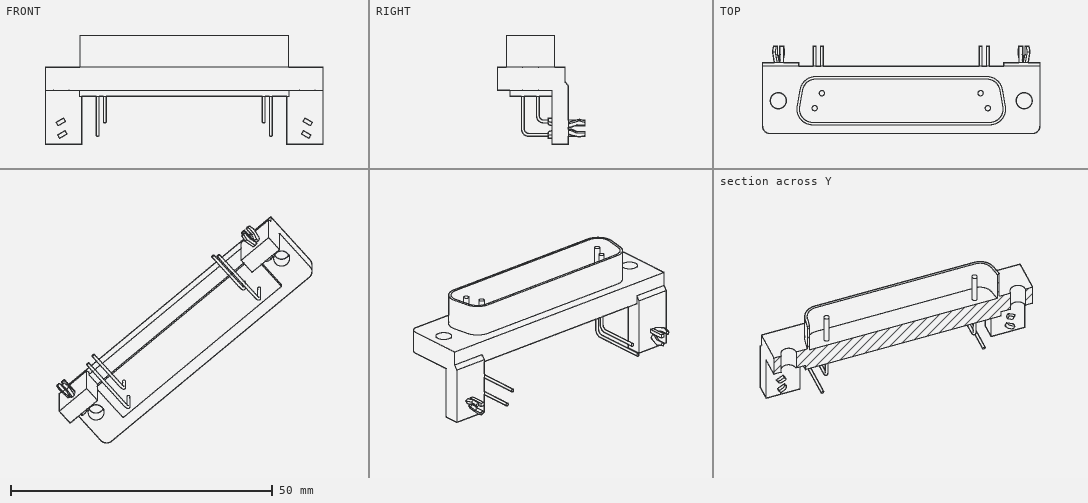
import cadquery as cq
import math


flange_length = 53.1
flange_back = 6.65
flange_front = -6.3
flange_thickness = 4.45
flange_corner_radius = 1.5
hole_spacing = 47.05
hole_diameter = 3.05

leg_width = 6.95
leg_thickness = 3.2
leg_bottom = -14.75
leg_step = 0.65
leg_slope_top = -2.75
leg_slope_bottom = -3.6
leg_back = flange_back + leg_step
leg_front = leg_back - leg_thickness

pad_length = 40.15
pad_front = -3.95
pad_thickness = 1.1

shell_height = 6.05
shell_depth = 9.25
shell_mid_width = 39.45
shell_side_angle = 10.0
shell_corner_radius = 3.05
shell_wall = 0.5
floor_depth = 0.4

pin_pitch = 5.2
row_offset = 1.45
contact_diameter = 1.0
contact_height = 5.5
tail_diameter = 0.6
tail_bend_radius = 1.1
tail_end = 10.45
row_drop = 2.55
upper_tail_z = -10.4
outer_contacts = [
    (3.2, -row_offset, upper_tail_z - row_drop),
    (2.9, row_offset, upper_tail_z),
]

lock_x = 23.45
lock_z = -11.7
lock_tilt = 30.0
lock_sheet = 0.65
prong_inner = 0.9
prong_tip_outer = 1.45
prong_peak = 1.8
prong_root_inner = 0.35
prong_root_outer = 1.1
peak_to_tip = 1.1
straight_slot = 1.6
slope_end_to_tip = 2.65
lug_length = 1.65
lug_width = 0.75
lug_height = 0.7
lug_radius = 0.8
lug_shift = 0.5
lug_offset = 1.1
peg_size = 0.7
peg_shift_x = 0.65
peg_shift_z = 0.75


def shell_prism(inset):
    """Solid D outline, drawn in from the outside of the shell by an even inset."""
    angle = math.radians(shell_side_angle)
    half_depth = shell_depth / 2 - inset
    half_width = shell_mid_width / 2 - inset / math.cos(angle)
    taper = half_depth * math.tan(angle)
    return (
        cq.Workplane("XY")
        .polyline([
            (-half_width - taper, -half_depth),
            (half_width + taper, -half_depth),
            (half_width - taper, half_depth),
            (-half_width + taper, half_depth),
        ])
        .close()
        .extrude(shell_height)
        .edges("|Z")
        .fillet(shell_corner_radius - inset)
    )


def make_flange():
    """Flange with rounded front corners and a shallow recess inside the shell."""
    depth = flange_back - flange_front
    body = (
        cq.Workplane("XY")
        .box(flange_length, depth, flange_thickness)
        .translate((0, (flange_back + flange_front) / 2, -flange_thickness / 2))
        .edges("|Z and <Y")
        .fillet(flange_corner_radius)
    )
    recess = shell_prism(shell_wall).translate((0, 0, -floor_depth))
    return body.cut(recess)


def make_leg(side):
    """Leg flush with one end of the flange; side is -1 or 1."""
    profile = [
        (leg_front, leg_slope_top),
        (flange_back, leg_slope_top),
        (leg_back, leg_slope_bottom),
        (leg_back, leg_bottom),
        (leg_front, leg_bottom),
    ]
    leg_middle = side * (flange_length - leg_width) / 2
    return (
        cq.Workplane("YZ")
        .polyline(profile)
        .close()
        .extrude(leg_width / 2, both=True)
        .translate((leg_middle, 0, 0))
    )


def make_pad():
    """Pad between the legs and the front of the flange underside."""
    depth = leg_front - pad_front
    return (
        cq.Workplane("XY")
        .box(pad_length, depth, pad_thickness)
        .translate((0, pad_front + depth / 2, -flange_thickness - pad_thickness / 2))
    )


def make_shell():
    """Open D-shaped shell standing on the flange."""
    return shell_prism(0).cut(shell_prism(shell_wall))


def make_pin(x, y, tail_z):
    """Straight contact inside the shell with a tail bent back below the flange."""
    contact = (
        cq.Workplane("XY", origin=(x, y, -floor_depth))
        .circle(contact_diameter / 2)
        .extrude(floor_depth + contact_height)
    )
    bend_offset = tail_bend_radius * (1 - math.sqrt(0.5))
    path = (
        cq.Workplane("YZ", origin=(x, 0, 0))
        .moveTo(y, -flange_thickness)
        .lineTo(y, tail_z + tail_bend_radius)
        .threePointArc((y + bend_offset, tail_z + bend_offset), (y + tail_bend_radius, tail_z))
        .lineTo(tail_end, tail_z)
    )
    tail = (
        cq.Workplane("XY", origin=(x, y, -flange_thickness))
        .circle(tail_diameter / 2)
        .sweep(path)
    )
    return contact.union(tail)


def make_peg():
    """Square peg through the left leg, beside the upper prong."""
    length = tail_end - leg_front
    return (
        cq.Workplane("XY")
        .box(peg_size, length, peg_size)
        .translate((-lock_x + peg_shift_x, tail_end - length / 2, lock_z + peg_shift_z))
    )


def make_lock():
    """Left board lock: a two-pronged fork behind the leg and two rounded lugs in front of it."""
    prong = (
        cq.Workplane("YZ")
        .polyline([
            (leg_front, prong_root_inner),
            (tail_end - slope_end_to_tip, prong_root_inner),
            (tail_end - straight_slot, prong_inner),
            (tail_end, prong_inner),
            (tail_end, prong_tip_outer),
            (tail_end - peak_to_tip, prong_peak),
            (leg_back, prong_root_outer),
            (leg_front, prong_root_outer),
        ])
        .close()
        .extrude(lock_sheet / 2, both=True)
    )
    lug_front = leg_front - lug_height
    lug_outer = lug_shift - lug_length / 2
    lug = (
        cq.Workplane("XY", origin=(0, 0, lug_offset))
        .moveTo(lug_outer, leg_front + lug_radius)
        .lineTo(lug_outer, lug_front + lug_radius)
        .radiusArc((lug_outer + lug_radius, lug_front), -lug_radius)
        .lineTo(lug_outer + lug_length, lug_front)
        .lineTo(lug_outer + lug_length, leg_front + lug_radius)
        .close()
        .extrude(lug_width / 2, both=True)
    )
    half = prong.union(lug)
    other_half = half.rotate((0, 0, 0), (0, 1, 0), 180)
    lock = half.union(other_half)
    lock = lock.rotate((0, 0, 0), (0, 1, 0), -lock_tilt)
    return lock.translate((-lock_x, 0, lock_z))


result = make_flange().union(make_pad()).union(make_shell())
for side in (-1, 1):
    result = result.union(make_leg(side))
    for pitches, row_y, tail_z in outer_contacts:
        result = result.union(make_pin(side * pitches * pin_pitch, row_y, tail_z))

left_lock = make_lock().union(make_peg())
result = result.union(left_lock).union(left_lock.mirror("YZ"))

holes = (
    cq.Workplane("XY")
    .pushPoints([(-hole_spacing / 2, 0), (hole_spacing / 2, 0)])
    .circle(hole_diameter / 2)
    .extrude(-flange_thickness - pad_thickness)
)
result = result.cut(holes)